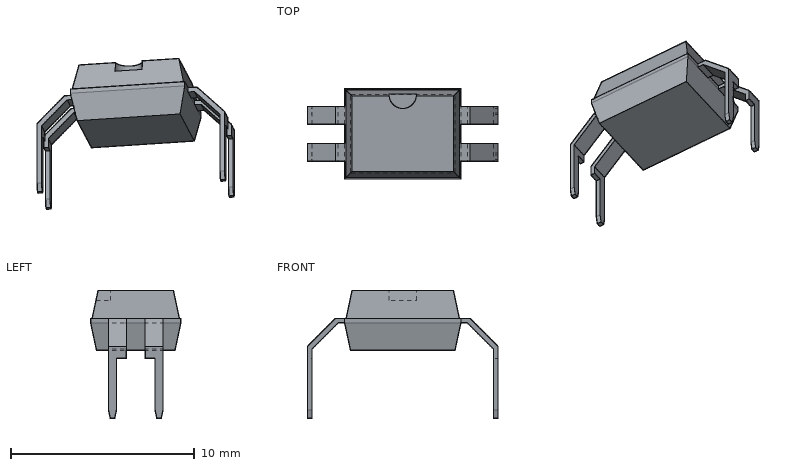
import cadquery as cq
import math

body_length = 6.35
body_width = 4.93
upper_height = 1.524
lower_height = 1.5
band_height = 0.254
draft_angle = 12.0
upper_ledge = 0.08

notch_radius = 0.745
notch_depth = 0.55
notch_center_y = 2.13

lead_span = 10.41
lead_thickness = band_height
lead_width = 0.98
lead_embed = 0.5
bend_run = 1.524
bend_inner_offset = 0.153
overall_height = 6.98
shoulder_height = 0.66
pin_width = 0.45
pin_pitch = 2.54
tip_width = 0.25
tip_height = 0.46

pin_end_z = upper_height - overall_height
bend_end_z = -bend_run
shoulder_z = bend_end_z - shoulder_height


def tapered_half(length, width, start_z, height, direction):
    """Block that narrows by the draft angle away from start_z; direction is 1 up, -1 down."""
    inset = height * math.tan(math.radians(draft_angle))
    return (
        cq.Workplane("XY", origin=(0, 0, start_z))
        .rect(length, width)
        .workplane(offset=direction * height)
        .rect(length - 2 * inset, width - 2 * inset)
        .loft(ruled=True)
    )


def make_body():
    band = cq.Workplane("XY", origin=(0, 0, -band_height)).rect(body_length, body_width).extrude(band_height)
    upper = tapered_half(body_length - 2 * upper_ledge, body_width - 2 * upper_ledge, 0, upper_height, 1)
    lower = tapered_half(body_length, body_width, -band_height, lower_height, -1)
    notch = (
        cq.Workplane("XY", origin=(0, notch_center_y, upper_height - notch_depth))
        .circle(notch_radius)
        .extrude(notch_depth)
    )
    return band.union(upper).union(lower).cut(notch)


def make_lead():
    """Lead on the -X, +Y corner: a bent strip trimmed to its stepped, pointed outline."""
    outer_x = -lead_span / 2
    inner_x = outer_x + lead_thickness
    knee_x = outer_x + bend_run
    root_x = -body_length / 2 + lead_embed
    pin_y = pin_pitch / 2
    pin_outer_y = pin_y + pin_width / 2
    pin_inner_y = pin_y - pin_width / 2
    wide_inner_y = pin_outer_y - lead_width
    tip_start_z = pin_end_z + tip_height

    strip = (
        cq.Workplane("XZ")
        .moveTo(root_x, 0)
        .lineTo(knee_x, 0)
        .lineTo(outer_x, bend_end_z)
        .lineTo(outer_x, pin_end_z)
        .lineTo(inner_x, pin_end_z)
        .lineTo(inner_x, bend_end_z - bend_inner_offset)
        .lineTo(knee_x + bend_inner_offset, -lead_thickness)
        .lineTo(root_x, -lead_thickness)
        .close()
        .extrude(-body_width / 2)
    )
    outline = (
        cq.Workplane("YZ", origin=(outer_x, 0, 0))
        .moveTo(wide_inner_y, 0)
        .lineTo(pin_outer_y, 0)
        .lineTo(pin_outer_y, tip_start_z)
        .lineTo(pin_y + tip_width / 2, pin_end_z)
        .lineTo(pin_y - tip_width / 2, pin_end_z)
        .lineTo(pin_inner_y, tip_start_z)
        .lineTo(pin_inner_y, shoulder_z)
        .lineTo(wide_inner_y, shoulder_z)
        .close()
        .extrude(lead_span / 2)
    )
    return strip.intersect(outline)


left_back_lead = make_lead()
left_leads = left_back_lead.union(left_back_lead.mirror("XZ"))
leads = left_leads.union(left_leads.mirror("YZ"))

result = make_body().union(leads)